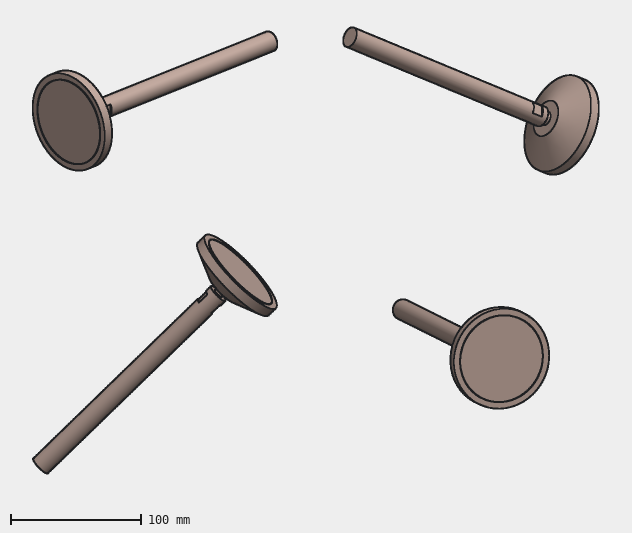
import cadquery as cq
import math

total_length = 220.0

foot_diameter = 78.0
foot_top_diameter = 28.8
rim_top_y = 8.1
foot_top_y = 20.0
groove_outer_diameter = 68.0
groove_inner_diameter = 67.5
groove_depth = 0.5

rod_diameter = 16.0
rod_start_y = 24.6
neck_diameter = 7.7
ball_diameter = 14.0
ball_center_y = 15.6
flat_start_y = 30.0
flat_length = 9.2
across_flats = 13.0


def revolve_about_y(profile):
    """Revolve a closed XY half-profile a full turn about the Y axis."""
    return profile.revolve(360, (0, 0, 0), (0, 1, 0))


def make_ball():
    return cq.Workplane("XY").sphere(ball_diameter / 2).translate((0, ball_center_y, 0))


def make_foot():
    """Conical foot with a fine ring groove in its underside and a socket for the ball."""
    profile = (
        cq.Workplane("XY")
        .lineTo(groove_inner_diameter / 2, 0)
        .lineTo(groove_inner_diameter / 2, groove_depth)
        .lineTo(groove_outer_diameter / 2, groove_depth)
        .lineTo(groove_outer_diameter / 2, 0)
        .lineTo(foot_diameter / 2, 0)
        .lineTo(foot_diameter / 2, rim_top_y)
        .lineTo(foot_top_diameter / 2, foot_top_y)
        .lineTo(0, foot_top_y)
        .close()
    )
    return revolve_about_y(profile).cut(make_ball())


def make_wrench_flat_cutter(side):
    """Block that cuts one wrench flat; side is +1 or -1 along X."""
    depth = (rod_diameter - across_flats) / 2
    return (
        cq.Workplane("XY")
        .box(depth, flat_length, rod_diameter)
        .translate((side * (across_flats + depth) / 2, flat_start_y + flat_length / 2, 0))
    )


def make_spindle():
    """Ball, neck and rod in one piece, with two opposite wrench flats."""
    neck_radius = neck_diameter / 2
    ball_radius = ball_diameter / 2
    ball_bottom_y = ball_center_y - ball_radius
    neck_start_y = ball_center_y + math.sqrt(ball_radius**2 - neck_radius**2)
    profile = (
        cq.Workplane("XY")
        .moveTo(0, ball_bottom_y)
        .threePointArc((ball_radius, ball_center_y), (neck_radius, neck_start_y))
        .lineTo(neck_radius, rod_start_y)
        .lineTo(rod_diameter / 2, rod_start_y)
        .lineTo(rod_diameter / 2, total_length)
        .lineTo(0, total_length)
        .close()
    )
    spindle = revolve_about_y(profile)
    for side in (-1, 1):
        spindle = spindle.cut(make_wrench_flat_cutter(side))
    return spindle


foot = make_foot()
spindle = make_spindle()
result = cq.Compound.makeCompound([foot.val(), spindle.val()])